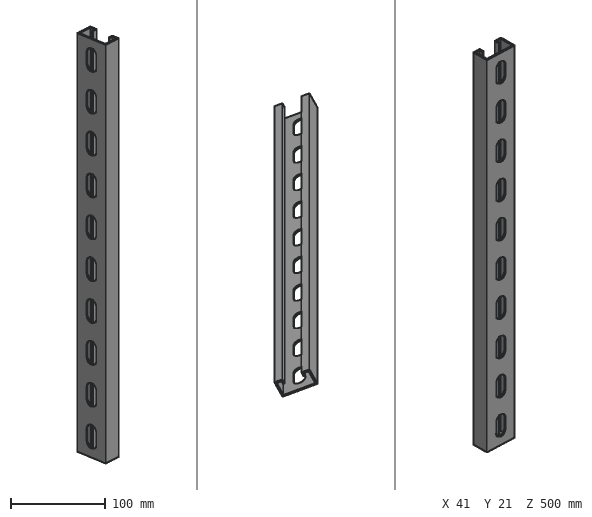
import cadquery as cq

width = 41.0
depth = 21.0
length = 500.0
sheet = 2.0

mouth_width = 22.0
lip_depth = 6.0

slot_width = 14.0
slot_length = 28.0
slot_pitch = 50.0
slot_count = round(length / slot_pitch)

side = width / 2
web_face = -depth / 2
mouth_face = depth / 2
lip_face = mouth_width / 2
lip_end = mouth_face - lip_depth


def make_channel():
    """Lipped C-channel along Z, with its web at -Y and its mouth at +Y."""
    half_section = [
        (0, web_face),
        (side, web_face),
        (side, mouth_face),
        (lip_face, mouth_face),
        (lip_face, lip_end),
        (lip_face + sheet, lip_end),
        (lip_face + sheet, mouth_face - sheet),
        (side - sheet, mouth_face - sheet),
        (side - sheet, web_face + sheet),
        (0, web_face + sheet),
    ]
    section = cq.Workplane("XY").polyline(half_section).mirrorY()
    return section.extrude(length / 2, both=True).clean()


def make_slots():
    """Evenly spaced slots through the web, long side along Z."""
    lowest = (slot_pitch - length) / 2
    centres = [(0, lowest + index * slot_pitch) for index in range(slot_count)]
    web_plane = cq.Workplane("XZ", origin=(0, web_face, 0))
    upright = 90
    return web_plane.pushPoints(centres).slot2D(slot_length, slot_width, upright).extrude(-sheet)


result = make_channel().cut(make_slots()).solids()